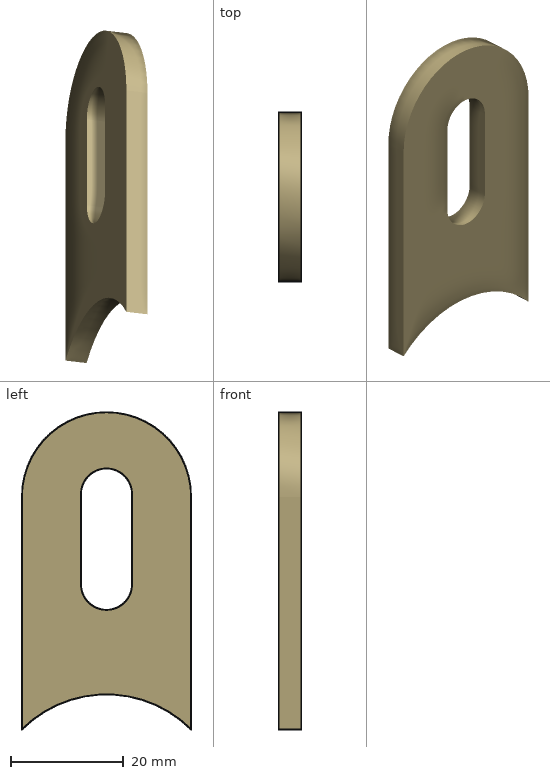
import cadquery as cq
import math

thickness = 4.0
width = 30.0
height_above_tube = 50.0
tube_diameter = 42.4
slot_width = 9.0
slot_length = 25.0
slot_top_margin = 10.0

half_width = width / 2
tube_radius = tube_diameter / 2
plate_top = tube_radius + height_above_tube
shoulder_z = plate_top - half_width
corner_z = math.sqrt(tube_radius**2 - half_width**2)
slot_center_z = plate_top - slot_top_margin - slot_length / 2


def make_plate():
    """Flat plate with a full-round top and a concave bottom edge."""
    return (
        cq.Workplane("YZ")
        .moveTo(-half_width, corner_z)
        .lineTo(-half_width, shoulder_z)
        .threePointArc((0, plate_top), (half_width, shoulder_z))
        .lineTo(half_width, corner_z)
        .threePointArc((0, tube_radius), (-half_width, corner_z))
        .close()
        .extrude(thickness / 2, both=True)
    )


def make_slot_cutter():
    """Upright round-ended slot through the full thickness."""
    return (
        cq.Workplane("YZ")
        .center(0, slot_center_z)
        .slot2D(slot_length, slot_width, angle=90)
        .extrude(thickness, both=True)
    )


result = make_plate().cut(make_slot_cutter())